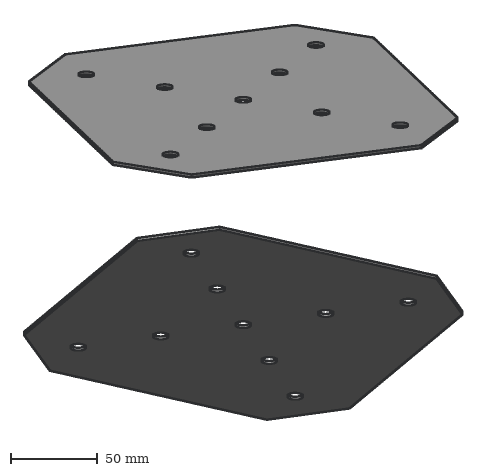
import cadquery as cq

width = 250.0
thickness = 2.0
flat_length = 50.0
corner_cut = (width - flat_length) / 2

hole_diameter = 9.0
hole_pitch = 50.0
holes_per_arm = 2


def make_plate():
    """Square plate with its four corners cut off at 45 degrees."""
    blank = cq.Workplane("XY").box(width, width, thickness)
    return blank.edges("|Z").chamfer(corner_cut)


def cross_points():
    """Hole centres along the X and Y axes, sharing one at the origin."""
    points = [(0, 0)]
    for step in range(1, holes_per_arm + 1):
        distance = step * hole_pitch
        points += [(distance, 0), (-distance, 0), (0, distance), (0, -distance)]
    return points


result = make_plate().faces(">Z").workplane().pushPoints(cross_points()).hole(hole_diameter)